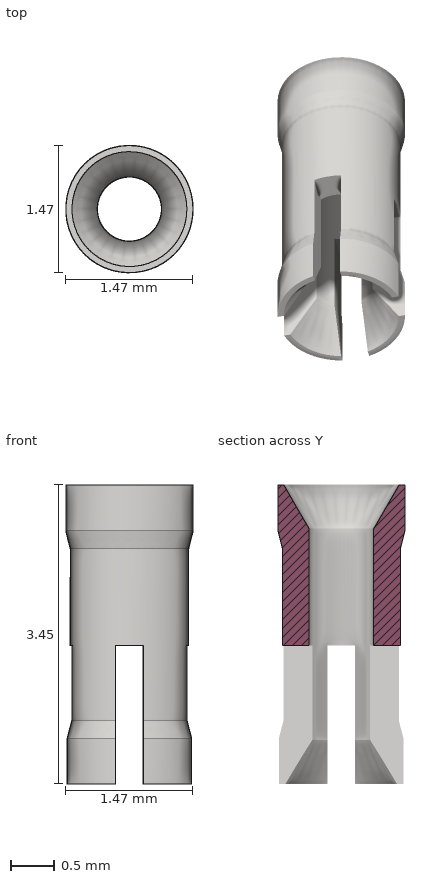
import cadquery as cq

length = 3.45
collar_radius = 0.735
body_radius = 0.683
bore_radius = 0.37

collar_height = 0.528
taper_height = 0.207

entry_radius = 0.662
entry_depth = 0.507

slot_width = 0.317
slot_height = 1.597


def make_sleeve():
    """Revolve the collared wall with its bore and conical entries."""
    taper_end = collar_height + taper_height
    profile = [
        (bore_radius, entry_depth),
        (entry_radius, 0),
        (collar_radius, 0),
        (collar_radius, collar_height),
        (body_radius, taper_end),
        (body_radius, length - taper_end),
        (collar_radius, length - collar_height),
        (collar_radius, length),
        (entry_radius, length),
        (bore_radius, length - entry_depth),
    ]
    return cq.Workplane("XZ").polyline(profile).close().revolve(360, (0, 0), (0, 1))


def make_crossed_slots():
    """Two perpendicular slots running right through the lower end."""
    across = 2 * collar_radius
    along_x = cq.Workplane("XY").box(across, slot_width, slot_height, centered=(True, True, False))
    along_y = cq.Workplane("XY").box(slot_width, across, slot_height, centered=(True, True, False))
    return along_x.union(along_y)


result = make_sleeve().cut(make_crossed_slots())